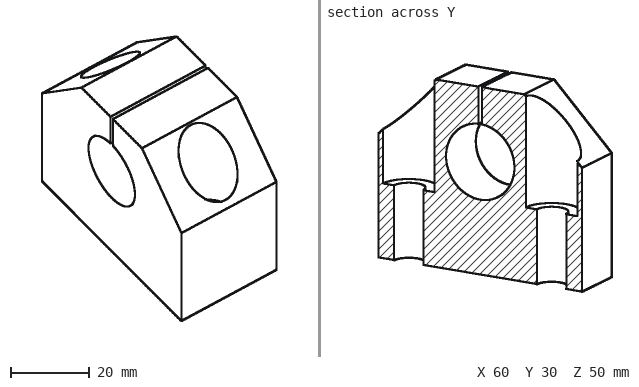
import cadquery as cq

length = 60
depth = 30
height = 50.0
corner_cut = 17.0

bore_diameter = 20.0
bore_height = 30
slit_width = 1.0

hole_spacing = 42
hole_diameter = 8.5
counterbore_diameter = 15
counterbore_floor = 20.0


def make_block():
    """Block centred on X and Y, resting on Z = 0, with both upper corners cut at 45 degrees."""
    block = cq.Workplane("XY").box(length, depth, height, centered=(True, True, False))
    return block.edges("|Y and >Z").chamfer(corner_cut)


def make_clamp_opening():
    """Bore through the block along Y, joined to the top face by a narrow slit."""
    bore = (
        cq.Workplane("XZ")
        .center(0, bore_height)
        .circle(bore_diameter / 2)
        .extrude(depth / 2, both=True)
    )
    slit = (
        cq.Workplane("XY")
        .workplane(offset=bore_height)
        .box(slit_width, depth, height - bore_height, centered=(True, True, False))
    )
    return bore.union(slit)


def make_mounting_hole(x):
    """Vertical through hole with a flat-bottomed counterbore open at the top."""
    hole = cq.Workplane("XY").center(x, 0).circle(hole_diameter / 2).extrude(height)
    counterbore = (
        cq.Workplane("XY")
        .workplane(offset=counterbore_floor)
        .center(x, 0)
        .circle(counterbore_diameter / 2)
        .extrude(height - counterbore_floor)
    )
    return hole.union(counterbore)


result = make_block().cut(make_clamp_opening())
for side in (-1, 1):
    result = result.cut(make_mounting_hole(side * hole_spacing / 2))